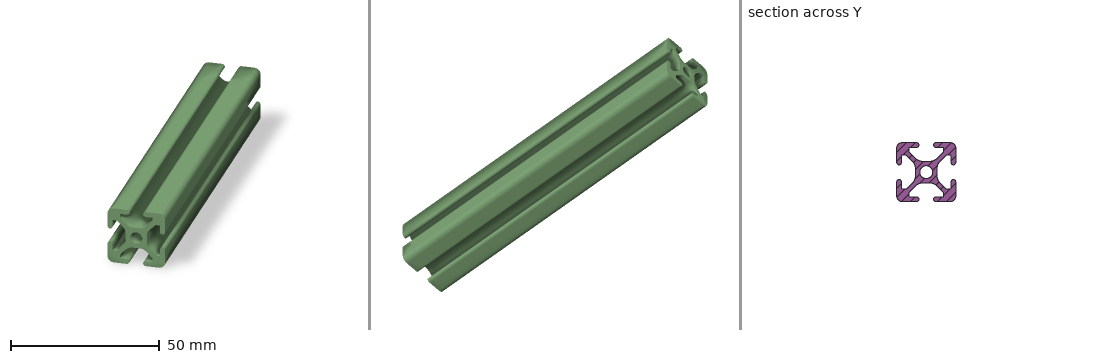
import cadquery as cq
import math

length = 120.0
side = 20.0
corner_radius = 2.0
bore_diameter = 4.2

mouth_width = 4.7
lip_thickness = 1.8
lip_radius = 1.1
cavity_width = 11.3
floor_height = 3.7
web_thickness = 1.5
floor_fillet = 3.2

half_side = side / 2
half_mouth = mouth_width / 2
half_cavity = cavity_width / 2
lip_middle = half_side - lip_thickness / 2
lip_inside = half_side - lip_thickness
web_offset = web_thickness / 2 ** 0.5
half_floor = floor_height - web_offset
cavity_shoulder = half_cavity + web_offset

arc_sweep = math.acos(1 - lip_thickness / 2 / lip_radius)
arc_run = lip_radius * math.sin(arc_sweep)
lip_tangent = half_mouth + arc_run
arc_middle_x = lip_tangent - lip_radius * math.sin(arc_sweep / 2)
arc_middle_drop = lip_radius * (1 - math.cos(arc_sweep / 2))
lower_arc_middle = lip_inside + arc_middle_drop
upper_arc_middle = half_side - arc_middle_drop
half_length = length / 2


def make_slot():
    """Cutter for the slot in the +Z side, with rounded lip ends."""
    slot = (
        cq.Workplane("XZ", origin=(0, half_length, 0))
        .moveTo(-half_floor, floor_height)
        .lineTo(half_floor, floor_height)
        .lineTo(half_cavity, cavity_shoulder)
        .lineTo(half_cavity, lip_inside)
        .lineTo(lip_tangent, lip_inside)
        .threePointArc((arc_middle_x, lower_arc_middle), (half_mouth, lip_middle))
        .threePointArc((arc_middle_x, upper_arc_middle), (lip_tangent, half_side))
        .lineTo(-lip_tangent, half_side)
        .threePointArc((-arc_middle_x, upper_arc_middle), (-half_mouth, lip_middle))
        .threePointArc((-arc_middle_x, lower_arc_middle), (-lip_tangent, lip_inside))
        .lineTo(-half_cavity, lip_inside)
        .lineTo(-half_cavity, cavity_shoulder)
        .close()
        .extrude(length)
    )
    return slot.faces("<Z").edges("|Y").fillet(floor_fillet)


bar = cq.Workplane("XY").box(side, length, side).edges("|Y").fillet(corner_radius)

slot = make_slot()
for quarter_turn in range(4):
    bar = bar.cut(slot.rotate((0, 0, 0), (0, 1, 0), 90 * quarter_turn))

bore = cq.Workplane("XZ", origin=(0, half_length, 0)).circle(bore_diameter / 2).extrude(length)
result = bar.cut(bore)